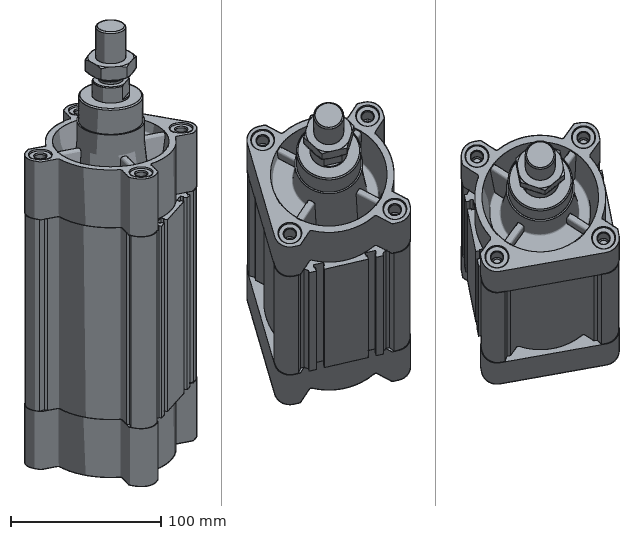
import cadquery as cq
import math

total_height = 317.5
body_width = 93.0

cap_height = 43.0
base_face = 4.5
barrel_bottom = base_face + cap_height
front_face = 232.2
barrel_top = front_face - cap_height
collar_step = 247.7
collar_top = 266.5

corner_radius = 10.5
round_radius = 43.5
flank_apex = 15.0
flank_root_fillet = 1.5
flank_tip_fillet = 1.5

barrel_inset = 0.3
tip_step_floor = 43.0
tip_step_reach = 30.5
tip_step_crest = 32.7
rail_length = 51.0
rail_foot = 44.8
slot_offset = 17.8
slot_opening = 5.5
slot_inner_width = 7.0
slot_depth = 5.0
slot_lip = 3.0

recess_rim_radius = 38.7
recess_hub_radius = 22.5
deep_hub_radius = 26.0
deep_wall_radius = 33.5
deep_depth = 31.8
floor_fillet = 1.5
shallow_hub_radius = 23.8
shallow_wall_radius = 37.2
shallow_depth = 8.0
rib_count = 4
first_rib_angle = 45
rib_top_width = 5.0
rib_floor_width = 10.8
rib_drop = 1.0
rib_fillet = 2.2

screw_spacing = 72.0
screw_seat_diameter = 15.0
screw_rim_diameter = 16.0
screw_seat_depth = 1.0
screw_bore_diameter = 8.0
screw_bore_rim = 9.0
screw_bore_depth = 12.7
screw_tip_diameter = 6.0
screw_bevel = 1.0

collar_diameter = 45.0
collar_upper_diameter = 43.0
collar_chamfer = 1.0
spigot_chamfer = 1.0

rod_diameter = 25.0
rod_end = barrel_top
rod_shoulder = 278.2
rod_chamfer = 0.5
flat_width = 22.0
flat_bottom = 267.7
neck_diameter = 16.5
relief_diameter = 18.5
relief_bottom = 279.8
relief_shoulder = 281.0
thread_bottom = 283.3
thread_diameter = 20.0
thread_tip_chamfer = 1.0

nut_width = 30.0
nut_bottom = 284.5
nut_height = 10.0
nut_bevel_height = 1.0
nut_bevel_reach = 2.0

overlap = 3.2


def extrude_between(sketch, bottom, top):
    return sketch.extrude(top - bottom).translate((0, 0, bottom))


def square_block(width, bottom, top):
    block = extrude_between(cq.Workplane("XY").rect(width, width), bottom, top)
    return block.edges("|Z").fillet(corner_radius)


def side_wedge(apex, bottom, top):
    """Wedge with 45-degree flanks that opens toward +X from the given apex."""
    points = [(apex, 0), (apex + body_width, body_width), (apex + body_width, -body_width)]
    return extrude_between(cq.Workplane("XY").polyline(points).close(), bottom, top)


def fillet_upright_pair(body, radius, x, y, z):
    """Fillet the two vertical edges at (x, y) and (x, -y)."""
    near = cq.selectors.NearestToPointSelector
    return body.edges("|Z").edges(near((x, y, z)) + near((x, -y, z))).fillet(radius)


def lobed_block(bottom, top, side_angles, inset=0.0):
    """Square block hollowed to the round body between the lobes on the listed sides."""
    radius = round_radius - inset
    half_width = body_width / 2 - inset
    middle = (bottom + top) / 2
    apex = flank_apex - inset
    root_x = (apex + math.sqrt(2 * radius**2 - apex**2)) / 2
    core = extrude_between(cq.Workplane("XY").circle(radius), bottom, top)
    notch = side_wedge(apex, bottom, top).cut(core)
    notch = fillet_upright_pair(notch, flank_root_fillet, root_x, root_x - apex, middle)
    block = square_block(2 * half_width, bottom, top)
    for angle in side_angles:
        block = block.rotate((0, 0, 0), (0, 0, 1), -angle).cut(notch)
        block = fillet_upright_pair(block, flank_tip_fillet, half_width, half_width - apex, middle)
        block = block.rotate((0, 0, 0), (0, 0, 1), angle)
    return block


def cap(bottom, top):
    return lobed_block(bottom, top, (180, 270, 0))


def slot(bottom, top):
    """T-slot open toward +X."""
    outer = body_width / 2
    opening = cq.Workplane("XY").center(outer - slot_depth / 2, 0).rect(slot_depth, slot_opening)
    inner_depth = slot_depth - slot_lip
    inner = cq.Workplane("XY").center(outer - slot_lip - inner_depth / 2, 0)
    inner = inner.rect(inner_depth, slot_inner_width)
    return extrude_between(opening, bottom, top).union(extrude_between(inner, bottom, top))


def tip_step(bottom, top):
    """Cutter that steps the tip of the lobe on the +Y end of the +X side."""
    outer = body_width / 2 - barrel_inset
    points = [
        (tip_step_floor, rail_length / 2),
        (tip_step_floor, tip_step_reach),
        (outer, tip_step_crest),
        (body_width, tip_step_crest),
        (body_width, rail_length / 2),
    ]
    return extrude_between(cq.Workplane("XY").polyline(points).close(), bottom, top)


def rail_base(bottom, top):
    """Block under the rails, sloping down from their outer sides to the step floor at the flanks."""
    flank_y = tip_step_floor - flank_apex + barrel_inset
    rail_y = rail_length / 2
    points = [
        (rail_foot, -rail_y),
        (rail_foot, rail_y),
        (tip_step_floor, flank_y),
        (-tip_step_floor, flank_y),
        (-rail_foot, rail_y),
        (-rail_foot, -rail_y),
        (-tip_step_floor, -flank_y),
        (tip_step_floor, -flank_y),
    ]
    return extrude_between(cq.Workplane("XY").polyline(points).close(), bottom, top)


def barrel():
    ends = (barrel_bottom, barrel_top)
    body = lobed_block(*ends, (0, 90, 180, 270), barrel_inset)
    upper_step = tip_step(*ends)
    steps = upper_step.union(upper_step.mirror("XZ"))
    for angle in (0, 90, 180, 270):
        body = body.cut(steps.rotate((0, 0, 0), (0, 0, 1), angle))
    body = body.union(rail_base(*ends))
    body = body.union(extrude_between(cq.Workplane("XY").rect(body_width, rail_length), *ends))
    for angle in (0, 180):
        for offset in (-slot_offset, slot_offset):
            cutter = slot(*ends).translate((0, offset, 0))
            body = body.cut(cutter.rotate((0, 0, 0), (0, 0, 1), angle))
    return body


def tapered_ring(hub_radius, wall_radius, depth):
    """Ring between the drafted hub and the drafted cap wall, with filleted floor corners."""
    floor = front_face - depth
    points = [
        (recess_hub_radius, front_face),
        (hub_radius, floor),
        (wall_radius, floor),
        (recess_rim_radius, front_face),
    ]
    outline = cq.Workplane("XZ").polyline(points).close()
    ring = outline.revolve(360, (0, 0), (0, 1))
    return ring.faces("<Z").edges().fillet(floor_fillet)


def recess():
    """Annular recess, shallow on the +Y quarter and deep elsewhere, divided by four ribs."""
    deep = tapered_ring(deep_hub_radius, deep_wall_radius, deep_depth)
    quarter = side_wedge(0, front_face - deep_depth - overlap, front_face + overlap)
    quarter = quarter.rotate((0, 0, 0), (0, 0, 1), 90)
    shallow = tapered_ring(shallow_hub_radius, shallow_wall_radius, shallow_depth)
    shallow = shallow.intersect(quarter)
    cavity = deep.cut(quarter).union(shallow)
    for index in range(rib_count):
        angle = first_rib_angle + 360 / rib_count * index
        cavity = cavity.cut(rib().rotate((0, 0, 0), (0, 0, 1), angle))
    return cavity


def rib():
    """Drafted rib along +X with a rounded ridge."""
    ridge = front_face - rib_drop
    floor = front_face - deep_depth
    points = [
        (-rib_floor_width / 2, floor),
        (-rib_top_width / 2, ridge),
        (rib_top_width / 2, ridge),
        (rib_floor_width / 2, floor),
    ]
    bar = cq.Workplane("YZ").polyline(points).close().extrude(recess_rim_radius)
    return bar.faces(">Z").edges("|X").fillet(rib_fillet)


def screw_hole():
    """Stepped blind hole below the origin, as a profile turned about Z."""
    points = [
        (0, 0),
        (screw_rim_diameter / 2, 0),
        (screw_seat_diameter / 2, -screw_seat_depth),
        (screw_bore_rim / 2, -screw_seat_depth),
        (screw_bore_diameter / 2, -screw_seat_depth - screw_bevel),
        (screw_bore_diameter / 2, -screw_bore_depth),
        (screw_tip_diameter / 2, -screw_bore_depth - screw_bevel),
        (0, -screw_bore_depth - screw_bevel),
    ]
    return cq.Workplane("XZ").polyline(points).close().revolve(360, (0, 0), (0, 1))


def collar():
    """Two-step collar that guides the rod."""
    lower = extrude_between(cq.Workplane("XY").circle(collar_diameter / 2), barrel_top, collar_step)
    upper = extrude_between(cq.Workplane("XY").circle(collar_upper_diameter / 2), barrel_top, collar_top)
    return lower.union(upper.faces(">Z").edges().chamfer(collar_chamfer))


def spigot():
    body = extrude_between(cq.Workplane("XY").circle(collar_diameter / 2), 0, barrel_bottom)
    return body.faces("<Z").edges().chamfer(spigot_chamfer)


def make_housing():
    """Rear cap, barrel, front cap, collar and spigot as one solid."""
    body = cap(base_face, barrel_bottom).union(barrel()).union(cap(barrel_top, front_face))
    body = body.cut(recess())
    half = screw_spacing / 2
    for x in (-half, half):
        for y in (-half, half):
            body = body.cut(screw_hole().translate((x, y, front_face)))
    body = body.union(collar()).union(spigot())
    bore = extrude_between(cq.Workplane("XY").circle(rod_diameter / 2), rod_end, collar_top)
    return body.cut(bore)


def make_rod():
    points = [
        (0, rod_end),
        (rod_diameter / 2, rod_end),
        (rod_diameter / 2, rod_shoulder - rod_chamfer),
        (rod_diameter / 2 - rod_chamfer, rod_shoulder),
        (neck_diameter / 2, rod_shoulder),
        (neck_diameter / 2, relief_bottom),
        (relief_diameter / 2, relief_shoulder),
        (relief_diameter / 2, thread_bottom),
        (thread_diameter / 2, thread_bottom),
        (thread_diameter / 2, total_height - thread_tip_chamfer),
        (thread_diameter / 2 - thread_tip_chamfer, total_height),
        (0, total_height),
    ]
    body = cq.Workplane("XZ").polyline(points).close().revolve(360, (0, 0), (0, 1))
    for side in (-1, 1):
        flat = extrude_between(cq.Workplane("XY").rect(rod_diameter, rod_diameter), flat_bottom, rod_shoulder)
        body = body.cut(flat.translate((side * (flat_width + rod_diameter) / 2, 0, 0)))
    return body


def make_nut():
    corner_diameter = nut_width / math.cos(math.radians(30))
    body = cq.Workplane("XY").polygon(6, corner_diameter).extrude(nut_height)
    body = body.rotate((0, 0, 0), (0, 0, 1), 30)
    bevel = cq.Workplane("XY").circle(corner_diameter / 2).extrude(nut_height)
    bevel = bevel.edges("<Z or >Z").chamfer(nut_bevel_height, nut_bevel_reach)
    hole = cq.Workplane("XY").circle(thread_diameter / 2).extrude(nut_height)
    return body.intersect(bevel).cut(hole).translate((0, 0, nut_bottom))


housing = make_housing()
rod = make_rod()
nut = make_nut()
result = cq.Compound.makeCompound([housing.val(), rod.val(), nut.val()])